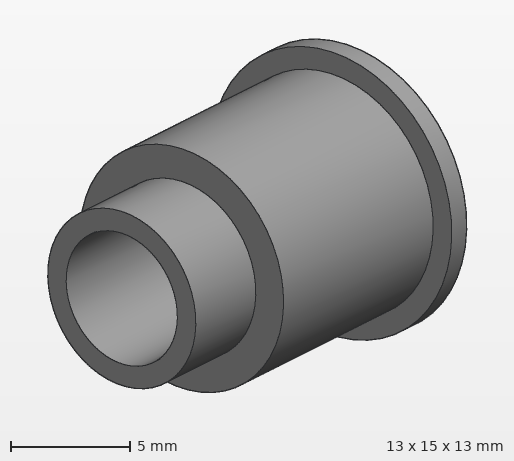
import cadquery as cq

total_length = 15.0
flange_thickness = 1.0
nose_length = 4.0
body_length = total_length - flange_thickness - nose_length

flange_diameter = 13.0
body_diameter = 11.0
nose_diameter = 8.0
bore_diameter = 6.0


def cylinder_along_y(diameter, start_y, length):
    """Solid cylinder centred on the Y axis, running from start_y towards +Y."""
    axis_start = cq.Vector(0, start_y, 0)
    return cq.Workplane(cq.Solid.makeCylinder(diameter / 2, length, axis_start, cq.Vector(0, 1, 0)))


nose = cylinder_along_y(nose_diameter, 0, nose_length)
body = cylinder_along_y(body_diameter, nose_length, body_length)
flange = cylinder_along_y(flange_diameter, nose_length + body_length, flange_thickness)

bore = cylinder_along_y(bore_diameter, 0, total_length)

result = nose.union(body).union(flange).cut(bore)